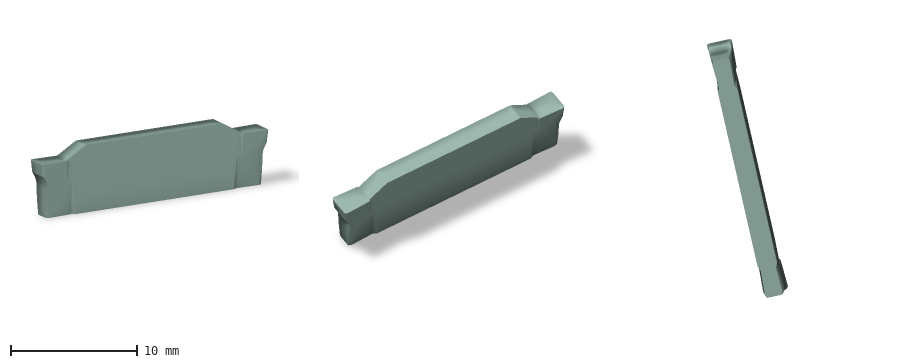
import cadquery as cq
import math

half_length = 10.33
height = 5.54
overall_width = 2.0
body_half_width = 0.79

rake_height = 4.5
ramp_angle = 30.0
ramp_top_y = 6.25
ramp_root_radius = 0.2
lip_bottom_y = 10.23
lip_bottom_z = 3.5
relief_y = 9.81
relief_top_z = 2.44

back_taper = 0.046
side_draft = 0.059
corner_radius = 0.19
corner_tip_allowance = 0.02

shoulder_y = 8.0
shoulder_length = 0.19
shoulder_slope = 0.67
notch_y = 7.55
notch_slope = 0.5
notch_run = 1.03

flat_height = 1.45
flat_width = 0.12
flat_depth = 0.29


def head_half_width(y, z):
    """Half-width of the drafted head; the tip is oversized to allow for its rounded corners."""
    tip_half_width = overall_width / 2 + corner_tip_allowance / 2
    return tip_half_width - back_taper * (half_length - y) - side_draft * (rake_height - z)


def symmetric_loft(right_side_at, top_z):
    """Ruled solid from Z = 0 to top_z; right_side_at(z) gives the +X points of a section."""
    wires = []
    for z in (0, top_z):
        right = right_side_at(z)
        left = [(-x, y) for x, y in reversed(right)]
        points = [cq.Vector(x, y, z) for x, y in right + left]
        wires.append(cq.Wire.makePolygon(points, close=True))
    return cq.Workplane(cq.Solid.makeLoft(wires, True))


def half_side_profile():
    """Side outline of the +Y half, extruded across the full width."""
    ramp_bottom_y = ramp_top_y + (height - rake_height) / math.tan(math.radians(ramp_angle))
    run = lip_bottom_y - relief_y
    rise = lip_bottom_z - relief_top_z
    profile = (
        cq.Workplane("YZ")
        .lineTo(relief_y, 0)
        .lineTo(relief_y, relief_top_z)
        .tangentArcPoint((run, rise), relative=True)
        .lineTo(half_length, rake_height)
        .lineTo(ramp_bottom_y, rake_height)
        .lineTo(ramp_top_y, height)
        .lineTo(0, height)
        .close()
        .extrude(overall_width, both=True)
    )
    root = cq.selectors.NearestToPointSelector((0, ramp_bottom_y, rake_height))
    return profile.edges(root).fillet(ramp_root_radius)


def core_section(z):
    neck = head_half_width(notch_y, z)
    flared = neck + notch_run * notch_slope
    return [
        (flared, 0),
        (flared, notch_y - notch_run),
        (neck, notch_y),
        (head_half_width(half_length, z), half_length),
    ]


def head_section(z):
    back = head_half_width(shoulder_y, z)
    return [
        (back - shoulder_length * shoulder_slope, shoulder_y - shoulder_length),
        (back, shoulder_y),
        (head_half_width(half_length, z), half_length),
    ]


def corner_flat(side):
    """Tetrahedron removed from a lower front corner; side is +1 or -1 along X."""
    edge_x = head_half_width(relief_y, 0)
    top_x = head_half_width(relief_y, flat_height)
    top = (side * top_x, relief_y, flat_height)
    front = (side * (edge_x - flat_width), relief_y, 0)
    back = (side * head_half_width(relief_y - flat_depth, 0), relief_y - flat_depth, 0)
    outer = (side * overall_width, half_length, 0)
    faces = []
    for corners in ((front, back, outer), (front, back, top), (back, outer, top), (outer, front, top)):
        wire = cq.Wire.makePolygon([cq.Vector(*corner) for corner in corners], close=True)
        faces.append(cq.Face.makeFromWires(wire))
    return cq.Workplane(cq.Solid.makeSolid(cq.Shell.makeShell(faces)))


slab = cq.Workplane("XY").box(
    2 * body_half_width, 2 * half_length, height, centered=(True, True, False)
)
profile = half_side_profile()
core = slab.intersect(symmetric_loft(core_section, height)).intersect(profile)
head = symmetric_loft(head_section, rake_height).intersect(profile)

lip_edges = cq.selectors.BoxSelector(
    (-overall_width, lip_bottom_y, lip_bottom_z),
    (overall_width, half_length, rake_height),
)
head = head.edges(lip_edges).edges("not #Z").edges("not |X").fillet(corner_radius)

half = core.union(head)
for side in (1, -1):
    half = half.cut(corner_flat(side))

result = half.union(half.mirror("XZ"))